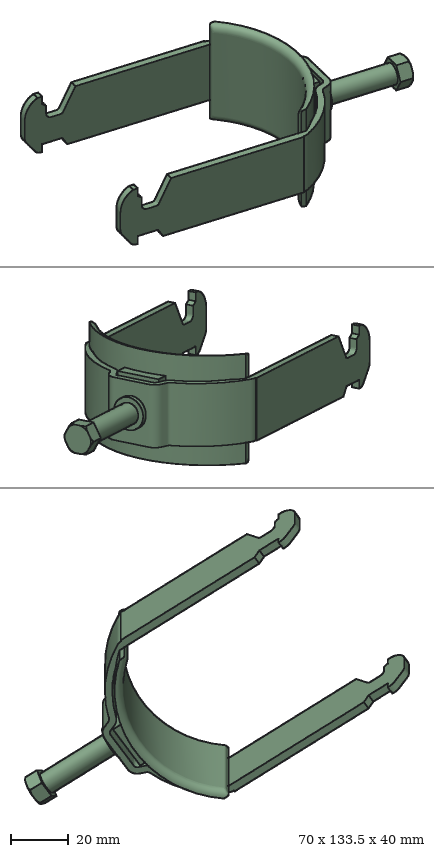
import cadquery as cq
import math


strap_width_x = 70.0
strap_height = 23.0
strap_thickness = 2.5
leg_thickness = 3.0
strap_top_y = 25.8
leg_end_y = -73.2
crown_half_flat = 7.1
bend_inner_radius = 1.5
arch_outer_radius = 38.7
reverse_bend_x = 13.1

notch_start_y = -53.0
notch_floor_start_y = -58.2
notch_floor_z = 1.9
hook_neck_y = -64.6
hook_step_y = -66.2
hook_step_low_z = 7.1
hook_step_high_z = 8.3
hook_nose_radius = 8.4
hook_nose_top_y = -68.1
hook_nose_end_z = 3.7
hook_slant_start_z = -4.8
hook_slant_end_y = -68.2
lower_notch_start_y = -56.2
lower_notch_floor_z = -8.3
notch_corner_radius = 1.3
neck_corner_radius = 2.0
hook_front_radius = 4.0
hook_bottom_radius = 3.0

collar_diameter = 12.0
collar_height = 1.9

bolt_diameter = 8.0
bolt_end_y = 60.3
head_across_flats = 10.4
head_length = 5.5
head_chamfer = 0.7

saddle_inner_radius = 38.5
saddle_thickness = 3.0
saddle_crown_y = 14.7
saddle_end_y = 0.4
saddle_end_edge_radius = 1.1
saddle_height = 40.0
saddle_center_z = 0.4
block_width = 16.7
block_height = 23.8
block_top_y = 21.4

strap_half_height = strap_height / 2
leg_outer_x = strap_width_x / 2
leg_inner_x = leg_outer_x - leg_thickness
bend_outer_radius = bend_inner_radius + strap_thickness
arch_inner_radius = arch_outer_radius - strap_thickness
strap_inner_y = strap_top_y - strap_thickness
saddle_outer_radius = saddle_inner_radius + saddle_thickness
saddle_middle_radius = saddle_inner_radius + saddle_thickness / 2
saddle_axis_y = saddle_crown_y - saddle_inner_radius


def polar(center, radius, angle):
    """Point at a radius and an angle (radians) from a center."""
    return (center[0] + radius * math.cos(angle), center[1] + radius * math.sin(angle))


def y_cylinder(diameter, start_y, end_y):
    """Cylinder around the bolt axis between two Y positions."""
    return cq.Workplane("XZ", origin=(0, end_y, 0)).circle(diameter / 2).extrude(end_y - start_y)


def add_arc(outline, center, radius, start, end):
    """Continue an outline, already at the start angle, along an arc to the end angle."""
    return outline.threePointArc(polar(center, radius, (start + end) / 2), polar(center, radius, end))


def half_strap_outline():
    """Closed XY outline of the bent bar on the +X side, from the crown to the leg end."""
    crown_bend = (crown_half_flat, strap_top_y - bend_outer_radius)
    leg_bend = (leg_inner_x - bend_inner_radius, 0)
    arch_y = -math.sqrt((arch_outer_radius - bend_outer_radius) ** 2 - leg_bend[0] ** 2)
    arch = (0, arch_y)
    reverse_reach = arch_outer_radius + bend_inner_radius
    reverse_bend = (reverse_bend_x, arch_y + math.sqrt(reverse_reach**2 - reverse_bend_x**2))

    step_x = reverse_bend[0] - crown_bend[0]
    step_y = reverse_bend[1] - crown_bend[1]
    radii_sum = bend_outer_radius + bend_inner_radius
    straight_angle = math.atan2(step_y, step_x) + math.acos(radii_sum / math.hypot(step_x, step_y))
    arch_start = math.atan2(reverse_bend[1] - arch_y, reverse_bend[0])
    reverse_start = straight_angle + math.pi
    reverse_end = arch_start + math.pi
    leg_angle = math.atan2(-arch_y, leg_bend[0])

    outline = cq.Workplane("XY").moveTo(0, strap_top_y).lineTo(crown_half_flat, strap_top_y)
    outline = add_arc(outline, crown_bend, bend_outer_radius, math.pi / 2, straight_angle)
    outline = outline.lineTo(*polar(reverse_bend, bend_inner_radius, reverse_start))
    outline = add_arc(outline, reverse_bend, bend_inner_radius, reverse_start, reverse_end)
    outline = add_arc(outline, arch, arch_outer_radius, arch_start, leg_angle)
    outline = add_arc(outline, leg_bend, bend_outer_radius, leg_angle, 0)

    outline = outline.lineTo(leg_outer_x, 0).lineTo(leg_outer_x, leg_end_y)
    outline = outline.lineTo(leg_inner_x, leg_end_y).lineTo(leg_inner_x, 0)
    outline = add_arc(outline, leg_bend, bend_inner_radius, 0, leg_angle)
    outline = add_arc(outline, arch, arch_inner_radius, leg_angle, arch_start)
    outline = add_arc(outline, reverse_bend, bend_outer_radius, reverse_end, reverse_start)
    outline = outline.lineTo(*polar(crown_bend, bend_inner_radius, straight_angle))
    outline = add_arc(outline, crown_bend, bend_inner_radius, straight_angle, math.pi / 2)
    return outline.lineTo(0, strap_inner_y).close()


def hook_outline():
    """YZ outline of a leg with its notches and hook, long enough to cover the whole strap."""
    return (
        cq.Workplane("YZ")
        .moveTo(strap_top_y, strap_half_height)
        .lineTo(notch_start_y, strap_half_height)
        .lineTo(notch_floor_start_y, notch_floor_z)
        .lineTo(hook_neck_y, notch_floor_z)
        .lineTo(hook_neck_y, hook_step_low_z)
        .lineTo(hook_step_y, hook_step_high_z)
        .lineTo(hook_step_y, strap_half_height)
        .lineTo(hook_nose_top_y, strap_half_height)
        .radiusArc((leg_end_y, hook_nose_end_z), -hook_nose_radius)
        .lineTo(leg_end_y, hook_slant_start_z)
        .lineTo(hook_slant_end_y, -strap_half_height)
        .lineTo(hook_step_y, -strap_half_height)
        .lineTo(hook_step_y, lower_notch_floor_z)
        .lineTo(notch_floor_start_y, lower_notch_floor_z)
        .lineTo(lower_notch_start_y, -strap_half_height)
        .lineTo(strap_top_y, -strap_half_height)
        .close()
    )


def round_corner(plate, y, z, radius):
    """Fillet the plate edges that run along X through one corner of the hook outline."""
    margin = 0.1
    corner = cq.selectors.BoxSelector(
        (-strap_width_x, y - margin, z - margin), (strap_width_x, y + margin, z + margin)
    )
    return plate.edges(corner).fillet(radius)


def make_strap():
    """Bent strap with a hook on each leg, a bolt hole and a collar around the hole."""
    half = half_strap_outline().extrude(strap_half_height, both=True)
    bent_bar = half.union(half.mirror("YZ"))

    side_plate = hook_outline().extrude(leg_outer_x, both=True)
    side_plate = round_corner(side_plate, notch_floor_start_y, notch_floor_z, notch_corner_radius)
    side_plate = round_corner(side_plate, hook_neck_y, notch_floor_z, neck_corner_radius)
    side_plate = round_corner(side_plate, leg_end_y, hook_slant_start_z, hook_front_radius)
    side_plate = round_corner(side_plate, hook_slant_end_y, -strap_half_height, hook_bottom_radius)
    strap = bent_bar.intersect(side_plate)

    collar = y_cylinder(collar_diameter, strap_inner_y, strap_top_y + collar_height)
    bolt_hole = y_cylinder(bolt_diameter, strap_inner_y, strap_top_y + collar_height)
    return strap.union(collar).cut(bolt_hole)


def make_bolt():
    """Hexagon bolt that reaches down to the saddle block, with its head's top corners cut back."""
    shank = y_cylinder(bolt_diameter, block_top_y, bolt_end_y - head_length)
    across_corners = head_across_flats / math.cos(math.pi / 6)
    head = (
        cq.Workplane("XZ", origin=(0, bolt_end_y, 0))
        .polygon(6, across_corners)
        .extrude(head_length)
    )
    corner_cut = (
        y_cylinder(across_corners, bolt_end_y - head_length, bolt_end_y).faces(">Y").chamfer(head_chamfer)
    )
    return shank.union(head.intersect(corner_cut))


def inner_end_edges(side):
    """Selector for the edges around one saddle end, apart from the one on its outer side."""
    margin = 0.1
    inner_x = side * leg_inner_x / 2
    outer_x = side * (leg_inner_x - margin)
    return cq.selectors.BoxSelector(
        (inner_x, saddle_end_y - margin, -saddle_height), (outer_x, saddle_end_y + margin, saddle_height)
    )


def make_saddle():
    """Curved pressure plate with rounded inner rims and a block that takes the bolt's end."""
    half_height = saddle_height / 2
    plate = (
        cq.Workplane("XZ", origin=(0, saddle_axis_y, saddle_center_z))
        .moveTo(saddle_outer_radius, -half_height)
        .lineTo(saddle_outer_radius, half_height)
        .radiusArc((saddle_inner_radius, half_height - saddle_thickness), -saddle_thickness)
        .lineTo(saddle_inner_radius, saddle_thickness - half_height)
        .radiusArc((saddle_outer_radius, -half_height), -saddle_thickness)
        .close()
        .revolve(360, (0, 0), (0, 1))
    )
    gap_between_legs = (
        cq.Workplane("XZ", origin=(0, saddle_end_y, saddle_center_z))
        .rect(2 * leg_inner_x, saddle_height)
        .extrude(-block_top_y)
    )
    plate = plate.intersect(gap_between_legs)
    for side in (-1, 1):
        plate = plate.faces("<Y").edges(inner_end_edges(side)).fillet(saddle_end_edge_radius)

    block = (
        cq.Workplane("XZ", origin=(0, 0, saddle_center_z))
        .rect(block_width, block_height)
        .extrude(-block_top_y)
    )
    plate_core = (
        cq.Workplane("XY", origin=(0, saddle_axis_y, saddle_center_z))
        .circle(saddle_middle_radius)
        .extrude(half_height, both=True)
    )
    return plate.union(block.cut(plate_core))


strap = make_strap()
bolt = make_bolt()
saddle = make_saddle().cut(strap)

result = cq.Compound.makeCompound([strap.solids().val(), bolt.solids().val(), saddle.solids().val()])